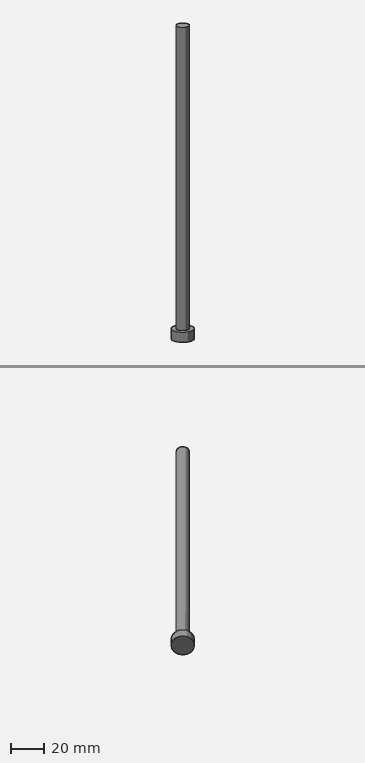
import cadquery as cq

TOTAL_LENGTH = 200.0
HEAD_DIAMETER = 14.0
HEAD_HEIGHT = 6.5
SHANK_DIAMETER = 8.2


def make_head():
    """Flat cylindrical head resting on the XY plane."""
    return cq.Workplane("XY").circle(HEAD_DIAMETER / 2).extrude(HEAD_HEIGHT)


def make_shank():
    """Plain round shank rising from the top of the head."""
    shank_length = TOTAL_LENGTH - HEAD_HEIGHT
    return (
        cq.Workplane("XY")
        .workplane(offset=HEAD_HEIGHT)
        .circle(SHANK_DIAMETER / 2)
        .extrude(shank_length)
    )


result = make_head().union(make_shank())